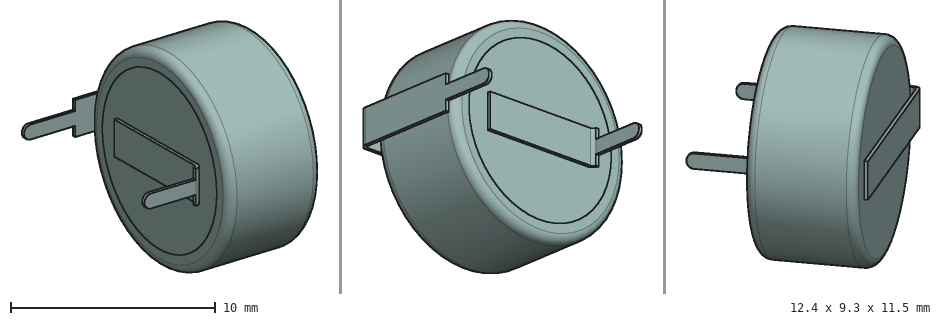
import cadquery as cq

cell_diameter = 11.5
cell_depth = 5.6
rim_radius = 0.5
cap_diameter = 9.5

sheet = 0.2
bend_radius = 2 * sheet
tab_width = 2.0
pin_width = 0.8
pin_start_y = -bend_radius
pin_tip_y = -3.5
cap_thickness = sheet

overall_length = 12.4
rear_corner_x = cell_diameter / 2 - overall_length
rear_corner_y = cell_depth + sheet
rear_plate_length = 10.75

front_corner_x = rear_corner_x + 10.2
front_corner_y = 0
front_plate_length = 7.05


def y_cylinder(diameter, depth):
    """Cylinder from Y = 0 toward +Y."""
    return cq.Workplane("XZ").circle(diameter / 2).extrude(-depth)


def make_cap():
    """Disc set flush into the front face of the can."""
    return y_cylinder(cap_diameter, cap_thickness)


def make_can():
    """Round can with both rims rounded and a recess for the cap."""
    can = y_cylinder(cell_diameter, cell_depth).edges().fillet(rim_radius)
    return can.cut(make_cap())


def make_tab(corner_x, corner_y, plate_length, plate_direction):
    """L-shaped strip: a plate along X, a rounded bend, and a leg toward -Y ending in a pin."""
    outer_bend = (corner_x + plate_direction * bend_radius, corner_y)
    plate_end_x = corner_x + plate_direction * plate_length
    leg_inner_x = corner_x + plate_direction * sheet
    bend_end_y = corner_y - bend_radius
    inner_radius = bend_radius - sheet
    sweep = -plate_direction * inner_radius
    strip = (
        cq.Workplane("XY")
        .moveTo(*outer_bend)
        .lineTo(plate_end_x, corner_y)
        .lineTo(plate_end_x, corner_y - sheet)
        .lineTo(outer_bend[0], corner_y - sheet)
        .radiusArc((leg_inner_x, bend_end_y), sweep)
        .lineTo(leg_inner_x, pin_tip_y)
        .lineTo(corner_x, pin_tip_y)
        .lineTo(corner_x, bend_end_y)
        .radiusArc(outer_bend, plate_direction * bend_radius)
        .close()
        .extrude(tab_width / 2, both=True)
    )
    return strip.intersect(make_tab_outline(corner_y))


def make_tab_outline(top_y):
    """Block with the tab's YZ outline: full width above, round-ended pin below."""
    half_tab = tab_width / 2
    half_pin = pin_width / 2
    tip_centre_y = pin_tip_y + half_pin
    return (
        cq.Workplane("YZ")
        .moveTo(top_y, half_tab)
        .lineTo(pin_start_y, half_tab)
        .lineTo(pin_start_y, half_pin)
        .lineTo(tip_centre_y, half_pin)
        .threePointArc((pin_tip_y, 0), (tip_centre_y, -half_pin))
        .lineTo(pin_start_y, -half_pin)
        .lineTo(pin_start_y, -half_tab)
        .lineTo(top_y, -half_tab)
        .close()
        .extrude(overall_length, both=True)
    )


can = make_can()
cap = make_cap()
rear_tab = make_tab(rear_corner_x, rear_corner_y, rear_plate_length, 1)
front_tab = make_tab(front_corner_x, front_corner_y, front_plate_length, -1)

bodies = [can, cap, rear_tab, front_tab]
result = cq.Compound.makeCompound([body.solids().val() for body in bodies])